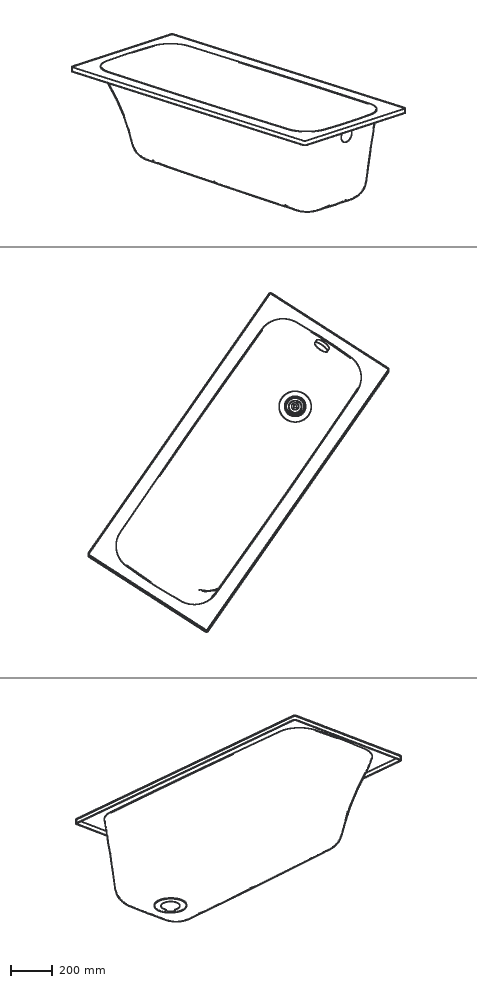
import cadquery as cq
import math

LENGTH = 1600.0
WIDTH = 700.0
TOTAL_HEIGHT = 496.0
RIM_HEIGHT = 25.0
RIM_CORNER_RADIUS = 10.0
RIM_EDGE_RADIUS = 5.0
OPENING_EDGE_RADIUS = 6.0
SHEET = 4.0

BACKREST = [(0.0, -749.0), (-96.0, -691.0), (-192.0, -629.0), (-288.0, -589.0), (-384.0, -560.0), (-480.0, -530.0)]
FOOT_X = 750.0
FOOT_LEAN = 0.1
HALF_WIDTH = 285.0
SIDE_LEAN = 0.1
END_BOW = 16.0
SIDE_BOW = 6.0
BASIN_CORNER_RADIUS = 128.0
FLOOR_RADIUS = 102.0

WASTE_X = 496.0
FLOOR_Z_AT_WASTE = -460.0
FLOOR_FALL = 0.016
FLOOR_SLOPE = math.degrees(math.atan(FLOOR_FALL))

WASTE_RIM_RADIUS = 51.0
WASTE_RIM_RISE = 2.0
WASTE_RIM_TOP = SHEET + WASTE_RIM_RISE
WASTE_BODY_RADIUS = 43.0
WASTE_FLANGE_RADIUS = 78.0
WASTE_FLANGE_THICKNESS = 5.0
FUNNEL_TOP_RADIUS = 46.0
FUNNEL_TIP_RADIUS = 8.0
WASTE_DEPTH = (TOTAL_HEIGHT + FLOOR_Z_AT_WASTE) * math.hypot(1, FLOOR_FALL) - FUNNEL_TIP_RADIUS * FLOOR_FALL
SEAT_RADIUS = 32.0
SEAT_DEPTH = 10.0
SEAT_Z = WASTE_RIM_TOP - SEAT_DEPTH

PLUG_RADIUS = 30.0
PLUG_EDGE_HEIGHT = 3.0
PLUG_TOP_RADIUS = 18.0
PLUG_TOP_HEIGHT = 10.0
PLUG_DIMPLE_RADIUS = 8.0
PLUG_DIMPLE_DEPTH = 3.0

CAP_RADIUS = 37.0
CAP_THICKNESS = 18.0
CAP_Z = -70.0


def section_wire(z, head_x, inset):
    """Rounded rectangle with slightly bowed sides at height z, moved inwards by inset."""
    left = head_x + inset
    right = FOOT_X + FOOT_LEAN * z - inset
    side = HALF_WIDTH + SIDE_LEAN * z - inset
    middle = (left + right) / 2
    outline = (
        cq.Workplane("XY", origin=(0, 0, z))
        .moveTo(left + END_BOW, SIDE_BOW - side)
        .threePointArc((middle, -side), (right - END_BOW, SIDE_BOW - side))
        .threePointArc((right, 0), (right - END_BOW, side - SIDE_BOW))
        .threePointArc((middle, side), (left + END_BOW, side - SIDE_BOW))
        .threePointArc((left, 0), (left + END_BOW, SIDE_BOW - side))
        .wire()
        .val()
    )
    return outline.fillet2D(BASIN_CORNER_RADIUS - inset, outline.Vertices())


def on_floor(body):
    """Place a body made about the Z axis on the sloping floor, at the waste."""
    return body.rotate((0, 0, 0), (0, 1, 0), FLOOR_SLOPE).translate((WASTE_X, 0, FLOOR_Z_AT_WASTE))


def basin_form(inset):
    """Solid form of the basin, moved inwards by inset on every side and at the floor."""
    wires = [section_wire(z, head_x, inset) for z, head_x in BACKREST]
    walls = cq.Workplane(cq.Solid.makeLoft(wires))
    below_floor = cq.Workplane("XY").box(3 * LENGTH, 2 * WIDTH, LENGTH, centered=(True, True, False))
    below_floor = on_floor(below_floor.translate((0, 0, inset - LENGTH)))
    return walls.cut(below_floor).faces("<Z").edges().fillet(FLOOR_RADIUS - inset)


def rim_plate():
    """Rim with rounded corners and top edge, hollow underneath."""
    plate = cq.Workplane("XY").rect(LENGTH, WIDTH).extrude(-RIM_HEIGHT)
    plate = plate.edges("|Z").fillet(RIM_CORNER_RADIUS)
    plate = plate.faces(">Z").edges().fillet(RIM_EDGE_RADIUS)
    hollow = (
        cq.Workplane("XY", origin=(0, 0, -SHEET))
        .rect(LENGTH - 2 * SHEET, WIDTH - 2 * SHEET)
        .extrude(-RIM_HEIGHT)
        .edges("|Z")
        .fillet(RIM_CORNER_RADIUS - SHEET)
    )
    return plate.cut(hollow)


def make_tub():
    """Sheet tub: rim and basin in one piece, with a hole for the waste."""
    tub = rim_plate().union(basin_form(0)).cut(basin_form(SHEET))
    opening = tub.faces(">Z").wires(cq.selectors.LengthNthSelector(0))
    tub = opening.fillet(OPENING_EDGE_RADIUS)
    waste_hole = cq.Workplane("XY").circle(WASTE_BODY_RADIUS).extrude(SHEET)
    return tub.cut(on_floor(waste_hole))


def make_waste():
    """Funnel body with a rim on the floor and a flange underneath."""
    profile = (
        cq.Workplane("XZ")
        .moveTo(0, SEAT_Z)
        .lineTo(SEAT_RADIUS, SEAT_Z)
        .lineTo(WASTE_BODY_RADIUS, WASTE_RIM_TOP)
        .lineTo(WASTE_RIM_RADIUS, WASTE_RIM_TOP)
        .lineTo(WASTE_RIM_RADIUS, SHEET)
        .lineTo(WASTE_BODY_RADIUS, SHEET)
        .lineTo(WASTE_BODY_RADIUS, 0)
        .lineTo(WASTE_FLANGE_RADIUS, 0)
        .lineTo(WASTE_FLANGE_RADIUS, -WASTE_FLANGE_THICKNESS)
        .lineTo(FUNNEL_TOP_RADIUS, -WASTE_FLANGE_THICKNESS)
        .lineTo(FUNNEL_TIP_RADIUS, -WASTE_DEPTH)
        .lineTo(0, -WASTE_DEPTH)
        .close()
    )
    return on_floor(profile.revolve(360, (0, 0), (0, 1)))


def make_plug():
    """Bevelled disc with a conical dimple, resting on the seat of the waste."""
    profile = (
        cq.Workplane("XZ", origin=(0, 0, SEAT_Z))
        .lineTo(PLUG_RADIUS, 0)
        .lineTo(PLUG_RADIUS, PLUG_EDGE_HEIGHT)
        .lineTo(PLUG_TOP_RADIUS, PLUG_TOP_HEIGHT)
        .lineTo(PLUG_DIMPLE_RADIUS, PLUG_TOP_HEIGHT)
        .lineTo(0, PLUG_TOP_HEIGHT - PLUG_DIMPLE_DEPTH)
        .close()
    )
    return on_floor(profile.revolve(360, (0, 0), (0, 1)))


def make_overflow_cap(basin_space):
    """Disc square to the leaning foot wall; its back follows the wall."""
    wall_x = FOOT_X + FOOT_LEAN * CAP_Z - SHEET
    wall = cq.Plane(origin=(wall_x, 0, CAP_Z), xDir=(0, 1, 0), normal=(-1, 0, FOOT_LEAN))
    disc = cq.Workplane(wall).circle(CAP_RADIUS).extrude(CAP_THICKNESS)
    backing = cq.Workplane(wall).circle(CAP_RADIUS).extrude(-SHEET)
    return disc.union(backing).intersect(basin_space)


tub = make_tub()
waste = make_waste()
plug = make_plug()
overflow_cap = make_overflow_cap(basin_form(SHEET))

result = cq.Compound.makeCompound([tub.val(), waste.val(), plug.val(), overflow_cap.val()])